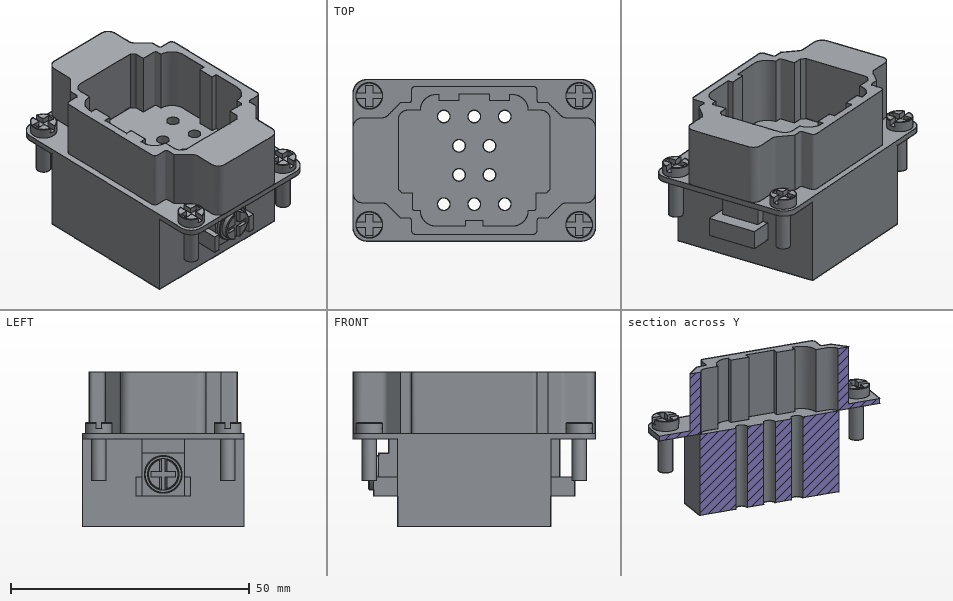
import cadquery as cq

total_height = 32.5
plate_top = 19.6
plate_thickness = 1.2
plate_bottom = plate_top - plate_thickness

plate_length = 51.0
plate_width = 34.0
plate_corner_radius = 3.0
body_length = 32.2

shroud_end_inset = 0.05
shroud_half_width = 15.55
shoulder_half_width = 12.1
end_half_width = 8.93
waist_half_length = 13.2
shoulder_half_length = 15.5
diagonal_run = shoulder_half_width - end_half_width
waist_outer_radius = 0.9
waist_inner_radius = 0.5
diagonal_inner_radius = 1.5
end_corner_radius = 2.0

cavity_half_length = 15.95
cavity_half_height = 13.82
lobe_edge_x = 11.33
lobe_edge_y = 10.55
lobe_radius = 3.3
upper_corner_radius = 2.0
lower_step_x = 12.95
lower_step_y = 6.9
lower_corner_chamfer = 0.85
lower_step_radius = 0.5

upper_key_inner_x = 3.2
upper_key_outer_x = 7.4
upper_key_tip_y = 12.58
upper_relief_y = 13.97
lower_key_width = 3.65
lower_key_tip_y = 12.63

contact_diameter = 2.6
contact_pitch = 6.4
outer_row_y = 9.21
inner_row_y = 3.05

screw_x = 22.05
screw_y = 13.54
shank_diameter = 3.1
shank_end_z = 9.7
head_diameter = 5.6
head_height = 2.25
head_chamfer = 0.12
slot_width = 1.15
slot_depth = 1.2
cross_arm_length = 4.4
cross_arm_width = 1.5

terminal_bottom = 6.45
cheek_top = 10.45
slab_top = 15.45
terminal_width = 8.87
cheek_span = 11.37
column_face_x = 18.0
slab_face_x = 20.1
cheek_face_x = 21.15

earth_screw_z = 11.0
washer_diameter = 7.9
washer_thickness = 0.8
washer_chamfer = 0.15
earth_head_diameter = 6.6
earth_head_face_x = 22.2
earth_head_chamfer = 0.2
earth_recess_depth = 0.7
earth_slot_top_width = 1.5
earth_slot_floor_width = 0.8
earth_arm_length = 5.1
earth_arm_width = 1.2


def box_between(x0, x1, y0, y1, z0, z1):
    """Axis-aligned box given by its opposite faces."""
    return cq.Workplane("XY").box(x1 - x0, y1 - y0, z1 - z0, centered=False).translate((x0, y0, z0))


def upright_edges_near(points):
    """Box selectors, one for the upright edge at each (x, y) point, combined into one selector."""
    reach = 0.05
    selector = None
    for x, y in points:
        low = (x - reach, y - reach, -total_height)
        high = (x + reach, y + reach, 2 * total_height)
        near = cq.selectors.BoxSelector(low, high)
        selector = near if selector is None else selector + near
    return selector


def four_corners(x, y):
    return [(x, y), (-x, y), (-x, -y), (x, -y)]


def make_body():
    half_length = body_length / 2
    half_width = plate_width / 2
    return box_between(-half_length, half_length, -half_width, half_width, 0, plate_bottom)


def make_plate():
    plate = cq.Workplane("XY").workplane(offset=plate_bottom).rect(plate_length, plate_width)
    return plate.extrude(plate_thickness).edges("|Z").fillet(plate_corner_radius)


def make_shroud():
    end_x = plate_length / 2 - shroud_end_inset
    diagonal_end_x = shoulder_half_length + diagonal_run
    quarter = [
        (end_x, end_half_width),
        (diagonal_end_x, end_half_width),
        (shoulder_half_length, shoulder_half_width),
        (waist_half_length, shoulder_half_width),
        (waist_half_length, shroud_half_width),
    ]
    upper = quarter + [(-x, y) for x, y in reversed(quarter)]
    outline = upper + [(x, -y) for x, y in reversed(upper)]
    shroud = cq.Workplane("XY").workplane(offset=plate_bottom).polyline(outline).close()
    shroud = shroud.extrude(total_height - plate_bottom)
    rounds = [
        (end_x, end_half_width, end_corner_radius),
        (diagonal_end_x, end_half_width, diagonal_inner_radius),
        (waist_half_length, shoulder_half_width, waist_inner_radius),
        (waist_half_length, shroud_half_width, waist_outer_radius),
    ]
    for x, y, radius in rounds:
        shroud = shroud.edges("|Z").edges(upright_edges_near(four_corners(x, y))).fillet(radius)
    return shroud


def make_cavity():
    """Solid that is removed from the shroud; its floor is level with the plate underside."""
    depth = total_height - plate_bottom
    lobe = box_between(
        -lobe_edge_x, lobe_edge_x, -cavity_half_height, cavity_half_height, plate_bottom, total_height
    ).edges("|Z").fillet(lobe_radius)

    upper_half = box_between(
        -cavity_half_length, cavity_half_length, -lower_step_y, lobe_edge_y, plate_bottom, total_height
    )
    upper_half = upper_half.edges("|Z and >Y").fillet(upper_corner_radius)
    upper_half = upper_half.edges("|Z and <Y").chamfer(lower_corner_chamfer)

    lower_half = box_between(
        -lower_step_x, lower_step_x, -lobe_edge_y, 0, plate_bottom, total_height
    ).edges("|Z and <Y").fillet(lower_step_radius)

    relief = box_between(
        -upper_key_inner_x, upper_key_inner_x, 0, upper_relief_y, plate_bottom, total_height
    )
    cavity = lobe.union(upper_half).union(lower_half).union(relief)

    key_width = upper_key_outer_x - upper_key_inner_x
    key_height = cavity_half_height - upper_key_tip_y
    key_centre_x = (upper_key_outer_x + upper_key_inner_x) / 2
    key_centre_y = (cavity_half_height + upper_key_tip_y) / 2
    upper_keys = cq.Workplane("XY").workplane(offset=plate_bottom)
    upper_keys = upper_keys.pushPoints([(-key_centre_x, key_centre_y), (key_centre_x, key_centre_y)])
    upper_keys = upper_keys.rect(key_width, key_height).extrude(depth)

    lower_key = box_between(
        -lower_key_width / 2, lower_key_width / 2,
        -cavity_half_height, -lower_key_tip_y,
        plate_bottom, total_height,
    )
    return cavity.cut(upper_keys).cut(lower_key)


def make_contact_holes():
    points = []
    for side in (1, -1):
        points += [(column * contact_pitch, side * outer_row_y) for column in (-1, 0, 1)]
        points += [(column * contact_pitch, side * inner_row_y) for column in (-0.5, 0.5)]
    return cq.Workplane("XY").pushPoints(points).circle(contact_diameter / 2).extrude(total_height)


def make_fixing_screw():
    """Slotted cross-recess screw seated on the plate, on the Z axis."""
    shank = cq.Workplane("XY").workplane(offset=shank_end_z).circle(shank_diameter / 2)
    shank = shank.extrude(plate_top - shank_end_z)
    head = cq.Workplane("XY").workplane(offset=plate_top).circle(head_diameter / 2).extrude(head_height)
    head = head.faces(">Z").edges().chamfer(head_chamfer)
    recess_plane = cq.Workplane("XY").workplane(offset=plate_top + head_height - slot_depth)
    slot = recess_plane.rect(head_diameter, slot_width).extrude(slot_depth)
    arm = recess_plane.rect(cross_arm_width, cross_arm_length).extrude(slot_depth)
    return head.cut(slot).cut(arm).union(shank)


def make_plain_terminal():
    """Terminal on the +X end: a column under the plate standing on a wider block."""
    start_x = body_length / 2
    half_width = terminal_width / 2
    half_span = cheek_span / 2
    column = box_between(start_x, column_face_x, -half_width, half_width, terminal_bottom, plate_bottom)
    block = box_between(start_x, cheek_face_x, -half_span, half_span, terminal_bottom, cheek_top)
    return column.union(block)


def make_screw_terminal():
    """Terminal on the -X end: a stepped slab held between two cheeks."""
    start_x = -body_length / 2
    half_width = terminal_width / 2
    half_span = cheek_span / 2
    column = box_between(-column_face_x, start_x, -half_width, half_width, terminal_bottom, plate_bottom)
    slab = box_between(-slab_face_x, start_x, -half_width, half_width, terminal_bottom, slab_top)
    terminal = column.union(slab)
    for y0, y1 in ((half_width, half_span), (-half_span, -half_width)):
        cheek = box_between(-cheek_face_x, start_x, y0, y1, terminal_bottom, cheek_top)
        terminal = terminal.union(cheek)
    return terminal


def make_earth_screw():
    """Washer and screw head pointing along -X, with a tapered upright slot and a shorter cross arm."""
    seat = cq.Workplane("YZ", origin=(-slab_face_x, 0, earth_screw_z))
    washer = seat.circle(washer_diameter / 2).extrude(-washer_thickness)
    washer = washer.faces("<X").edges().chamfer(washer_chamfer)
    head = seat.circle(earth_head_diameter / 2).extrude(slab_face_x - earth_head_face_x)
    head = head.faces("<X").edges().chamfer(earth_head_chamfer)

    floor_x = earth_recess_depth - earth_head_face_x
    slot_section = [
        (-earth_head_face_x, -earth_slot_top_width / 2),
        (-earth_head_face_x, earth_slot_top_width / 2),
        (floor_x, earth_slot_floor_width / 2),
        (floor_x, -earth_slot_floor_width / 2),
    ]
    slot = cq.Workplane("XY").workplane(offset=earth_screw_z).polyline(slot_section).close()
    slot = slot.extrude(earth_head_diameter, both=True)
    arm = cq.Workplane("YZ", origin=(floor_x, 0, earth_screw_z))
    arm = arm.rect(earth_arm_length, earth_arm_width).extrude(-earth_recess_depth)
    return head.cut(slot).cut(arm).union(washer)


housing = make_body().union(make_plate()).union(make_shroud())
housing = housing.cut(make_cavity()).cut(make_contact_holes())
housing = housing.union(make_plain_terminal()).union(make_screw_terminal()).union(make_earth_screw())

fixing_screw = make_fixing_screw()
for screw_centre_x, screw_centre_y in four_corners(screw_x, screw_y):
    housing = housing.union(fixing_screw.translate((screw_centre_x, screw_centre_y, 0)))

result = housing